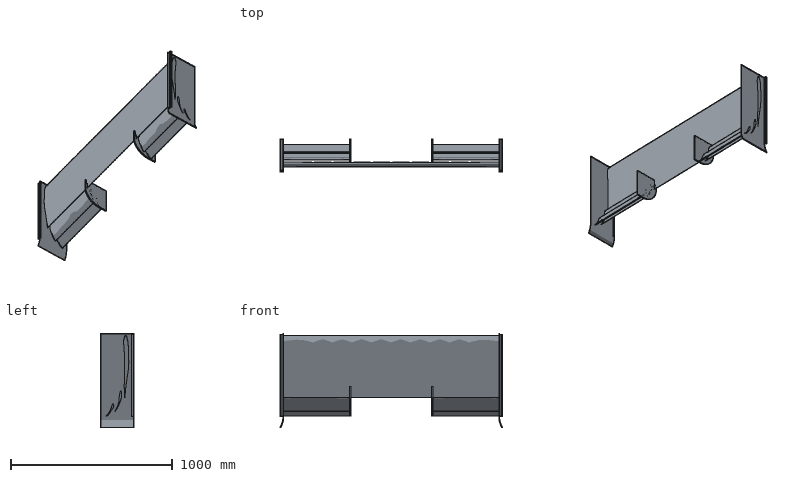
import cadquery as cq
import math

overall_width = 1374.21
overall_depth = 204.0
overall_height = 580.96
half_width = overall_width / 2

plate_thickness = 5.0
plate_inner_x = 664.0
plate_outer_x = plate_inner_x + plate_thickness
foot_outer_drop = 66.5
foot_angle = 2 * math.atan((half_width - plate_outer_x) / foot_outer_drop)
foot_outer_radius = foot_outer_drop / math.sin(foot_angle)
foot_inner_radius = foot_outer_radius + plate_thickness
foot_drop = foot_inner_radius * math.sin(foot_angle)
plate_top_z = overall_height - foot_drop

lip_flange_width = 6.5
lip_front_y = 1.0
lip_rear_y = 14.0
lip_root_rear_y = 11.0
lip_top_gap = 4.0

fin_inner_x = 250.0
fin_thickness = 8.0
fin_front_y = 43.0
fin_bottom_z = 3.0
fin_top_z = 184.0
fin_corner_radius = 112.0

trailing_edge_width = 1.5
main_rear = [(57.0, 116.0), (58.0, 250.0), (58.0, 398.0), (61.5, 440.0), (59.0, 485.0), (50.5, 501.0)]
main_front = [(41.0, 483.0), (33.0, 425.0), (32.5, 300.0), (41.0, 240.0), (50.0, 177.0)]
flap_rear = [(117.0, 33.0), (99.0, 67.0), (91.0, 100.0), (87.5, 138.0), (80.0, 157.5)]
flap_front = [(75.0, 137.0), (79.0, 106.0), (91.0, 75.0), (105.0, 47.0)]
rear_flap_rear = [(171.0, 4.0), (149.0, 31.0), (141.0, 49.0), (133.5, 70.0), (128.5, 78.0)]
rear_flap_front = [(123.5, 65.0), (133.5, 45.0), (148.0, 22.0), (158.0, 10.0)]


def blunt_edge(rear, width):
    """Front corner of the blunt trailing edge, square to the start of the rear surface."""
    (y0, z0), (y1, z1) = rear[0], rear[1]
    length = math.hypot(y1 - y0, z1 - z0)
    return (y0 - width * (z1 - z0) / length, z0 + width * (y1 - y0) / length)


def wing(rear, front, x_start, x_end):
    """Wing element of constant section from x_start to x_end."""
    edge = blunt_edge(rear, trailing_edge_width)
    return (
        cq.Workplane("YZ", origin=(x_start, 0, 0))
        .moveTo(*rear[0])
        .spline(rear[1:] + front + [edge], includeCurrent=True)
        .close()
        .extrude(x_end - x_start)
    )


def end_plate():
    """Right end plate with the outward-curving foot below Z = 0."""
    centre_x = plate_outer_x + foot_outer_radius

    def on_foot(radius, angle):
        return (centre_x - radius * math.cos(angle), -radius * math.sin(angle))

    return (
        cq.Workplane("XZ")
        .moveTo(plate_inner_x, plate_top_z)
        .lineTo(plate_outer_x, plate_top_z)
        .lineTo(plate_outer_x, 0)
        .threePointArc(on_foot(foot_outer_radius, foot_angle / 2), on_foot(foot_outer_radius, foot_angle))
        .lineTo(*on_foot(foot_inner_radius, foot_angle))
        .threePointArc(on_foot(foot_inner_radius, foot_angle / 2), (plate_inner_x, 0))
        .close()
        .extrude(-overall_depth)
    )


def front_lip():
    """Lip beside the front edge of the right end plate: an outer flange with a sloping web behind it."""
    flange_inner_x = half_width - lip_flange_width
    web_slope_depth = flange_inner_x - plate_outer_x
    return (
        cq.Workplane("XY")
        .moveTo(plate_outer_x, 0)
        .lineTo(flange_inner_x, web_slope_depth)
        .lineTo(flange_inner_x, lip_front_y)
        .lineTo(half_width, lip_front_y)
        .lineTo(half_width, lip_rear_y)
        .lineTo(plate_outer_x, lip_root_rear_y)
        .close()
        .extrude(plate_top_z - lip_top_gap)
    )


def fin():
    """Right fin: flat top, rear edge level with the end plates, rounded lower front corner."""
    corner_z = fin_bottom_z + fin_corner_radius
    return (
        cq.Workplane("YZ", origin=(fin_inner_x, 0, 0))
        .moveTo(fin_front_y + fin_corner_radius, fin_bottom_z)
        .radiusArc((fin_front_y, corner_z), fin_corner_radius)
        .lineTo(fin_front_y, fin_top_z)
        .lineTo(overall_depth, fin_top_z)
        .lineTo(overall_depth, fin_bottom_z)
        .close()
        .extrude(fin_thickness)
    )


right_parts = [
    end_plate(),
    front_lip(),
    fin(),
    wing(flap_rear, flap_front, fin_inner_x, plate_outer_x),
    wing(rear_flap_rear, rear_flap_front, fin_inner_x, plate_outer_x),
]

result = wing(main_rear, main_front, -plate_outer_x, plate_outer_x)
for part in right_parts:
    result = result.union(part, clean=False)
    result = result.union(part.mirror("YZ"), clean=False)